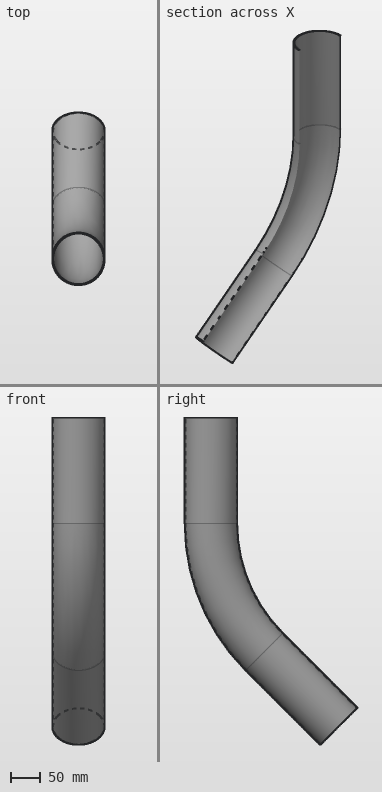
import cadquery as cq
import math

outer_diameter = 88.9
inner_diameter = 84.68
bend_radius = 304.8
bend_angle = 45.0
straight_length = 177.8


def centreline():
    """Vertical leg down to the bend, the bend towards +Y, then the sloping leg."""
    angle = math.radians(bend_angle)

    def point_on_bend(turn):
        y = bend_radius * (1 - math.cos(turn))
        z = -bend_radius * math.sin(turn)
        return y, z

    bend_middle = point_on_bend(angle / 2)
    bend_end = point_on_bend(angle)
    leg_end = (
        bend_end[0] + straight_length * math.sin(angle),
        bend_end[1] - straight_length * math.cos(angle),
    )
    return (
        cq.Workplane("YZ")
        .moveTo(0, straight_length)
        .lineTo(0, 0)
        .threePointArc(bend_middle, bend_end)
        .lineTo(*leg_end)
    )


def bent_pipe():
    """Ring section swept from the open top end along the centreline."""
    return (
        cq.Workplane("XY", origin=(0, 0, straight_length))
        .circle(outer_diameter / 2)
        .circle(inner_diameter / 2)
        .sweep(centreline())
    )


result = bent_pipe()